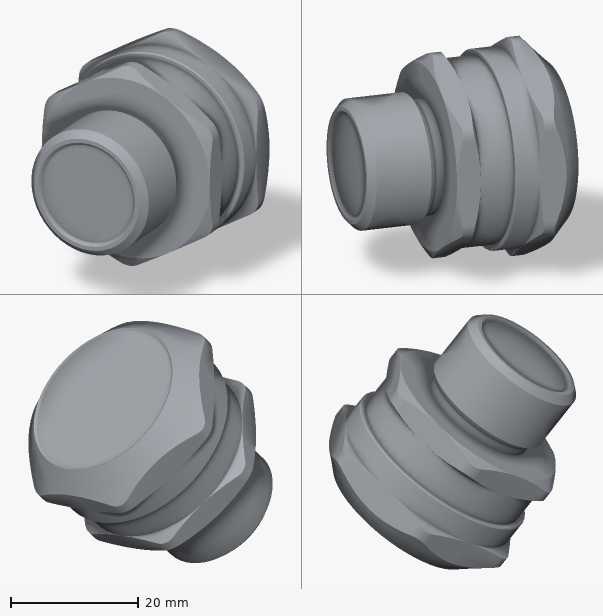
import cadquery as cq
import math

NUT_CORNERS = 36.02
CORNER_RADIUS = 3.0
BODY_FLATS = 30.0
THREAD_DIAMETER = 20.95
NECK_DIAMETER = 18.62
REAR_DIAMETER = 26.0

THREAD_CHAMFER = (THREAD_DIAMETER - NECK_DIAMETER) / 2
THREAD_LENGTH = 11.53
NECK_LENGTH = 1.45
BODY_HEX_LENGTH = 4.0
SLEEVE_LENGTH = 5.5
COLLAR_LENGTH = 4.05
NUT_HEX_LENGTH = 4.43
TOTAL_LENGTH = 34.0

BODY_BEVEL = 1.08
NUT_FRONT_BEVEL = 0.72
NUT_REAR_BEVEL = 1.9
COLLAR_CHAMFER = 0.18
RECESS_DIAMETER = 17.3
RECESS_DEPTH = 0.5
DISH_DEPTH = 0.25
DISH_TAPER = 0.45

CORNER_SETBACK = CORNER_RADIUS * (1 / math.cos(math.radians(30)) - 1)
NUT_FLATS = (NUT_CORNERS + 2 * CORNER_SETBACK) * math.cos(math.radians(30))

neck_start = THREAD_LENGTH
body_start = neck_start + NECK_LENGTH
sleeve_start = body_start + BODY_HEX_LENGTH
collar_start = sleeve_start + SLEEVE_LENGTH
nut_start = collar_start + COLLAR_LENGTH
nut_end = nut_start + NUT_HEX_LENGTH


def revolved(points):
    """Revolve a closed (radius, y) outline about the Y axis."""
    return cq.Workplane("XY").polyline(points).close().revolve(360, (0, 0, 0), (0, 1, 0))


def rounded_hexagon(flats, start, end):
    """Hexagonal prism with rounded corners, two of them on the Z axis."""
    corner_diameter = flats / math.cos(math.radians(30))
    return (
        cq.Workplane("XZ", origin=(0, start, 0))
        .transformed(rotate=(0, 0, 90))
        .polygon(6, corner_diameter)
        .extrude(start - end)
        .edges("|Y")
        .fillet(CORNER_RADIUS)
    )


def threaded_end():
    thread_radius = THREAD_DIAMETER / 2
    neck_radius = NECK_DIAMETER / 2
    return revolved([
        (0, 0),
        (neck_radius, 0),
        (thread_radius, THREAD_CHAMFER),
        (thread_radius, neck_start - THREAD_CHAMFER),
        (neck_radius, neck_start),
        (neck_radius, body_start),
        (0, body_start),
    ])


def body_hexagon():
    """Hexagon bevelled at both ends down to its inscribed circle."""
    flat_radius = BODY_FLATS / 2
    corner_radius = flat_radius / math.cos(math.radians(30)) - CORNER_SETBACK
    envelope = revolved([
        (0, body_start),
        (flat_radius, body_start),
        (corner_radius, body_start + BODY_BEVEL),
        (corner_radius, sleeve_start - BODY_BEVEL),
        (flat_radius, sleeve_start),
        (0, sleeve_start),
    ])
    return rounded_hexagon(BODY_FLATS, body_start, sleeve_start).intersect(envelope)


def sleeve_and_collar():
    sleeve_radius = BODY_FLATS / 2
    collar_radius = NUT_FLATS / 2
    return revolved([
        (0, sleeve_start),
        (sleeve_radius, sleeve_start),
        (sleeve_radius, collar_start),
        (collar_radius - COLLAR_CHAMFER, collar_start),
        (collar_radius, collar_start + COLLAR_CHAMFER),
        (collar_radius, nut_start),
        (0, nut_start),
    ])


def cap_nut():
    """Hexagon whose rear tapers to a flat round end."""
    flat_radius = NUT_FLATS / 2
    corner_radius = NUT_CORNERS / 2
    envelope = revolved([
        (0, nut_start),
        (flat_radius, nut_start),
        (corner_radius, nut_start + NUT_FRONT_BEVEL),
        (corner_radius, nut_end - NUT_REAR_BEVEL),
        (flat_radius, nut_end),
        (REAR_DIAMETER / 2, TOTAL_LENGTH),
        (0, TOTAL_LENGTH),
    ])
    return rounded_hexagon(NUT_FLATS, nut_start, TOTAL_LENGTH).intersect(envelope)


def front_recess():
    """Shallow recess with a 45 degree wall in the threaded end."""
    mouth_radius = RECESS_DIAMETER / 2
    floor_radius = mouth_radius - RECESS_DEPTH
    return revolved([(0, 0), (mouth_radius, 0), (floor_radius, RECESS_DEPTH), (0, RECESS_DEPTH)])


def rear_dish():
    """Very shallow dish across the rear end."""
    mouth_radius = REAR_DIAMETER / 2
    floor = TOTAL_LENGTH - DISH_DEPTH
    return revolved([
        (0, floor),
        (mouth_radius - DISH_TAPER, floor),
        (mouth_radius, TOTAL_LENGTH),
        (0, TOTAL_LENGTH),
    ])


result = (
    threaded_end()
    .union(body_hexagon())
    .union(sleeve_and_collar())
    .union(cap_nut())
    .cut(front_recess())
    .cut(rear_dish())
)